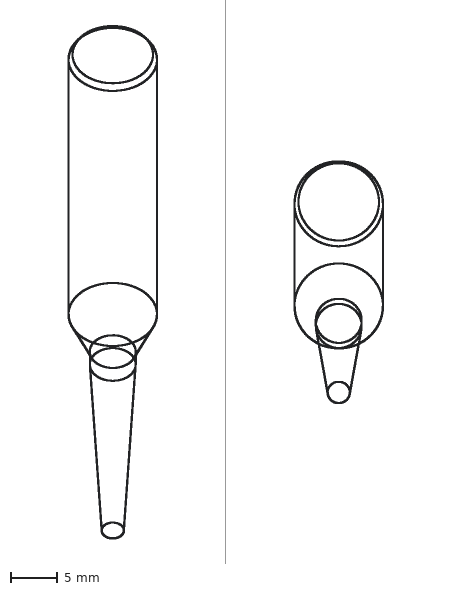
import cadquery as cq

total_length = 73.0
shank_diameter = 9.55
neck_diameter = 5.0
tip_diameter = 2.4

taper_length = 25.5
neck_length = 2.0
cone_length = 5.7

bevel_height = 0.7
bevel_width = 0.45

shank_radius = shank_diameter / 2
neck_radius = neck_diameter / 2
tip_radius = tip_diameter / 2
neck_top = taper_length + neck_length
cone_top = neck_top + cone_length


def revolve_about_z(profile_points):
    """Turn a closed (radius, height) outline around the Z axis."""
    return (
        cq.Workplane("XZ")
        .polyline(profile_points)
        .close()
        .revolve(360, (0, 0), (0, 1))
    )


def make_shank():
    """Bevelled cylinder that narrows through a cone to a short straight neck."""
    return revolve_about_z([
        (0, taper_length),
        (neck_radius, taper_length),
        (neck_radius, neck_top),
        (shank_radius, cone_top),
        (shank_radius, total_length - bevel_height),
        (shank_radius - bevel_width, total_length),
        (0, total_length),
    ])


def make_tapered_tip():
    """Slender cone below the neck, ending in a flat face."""
    return revolve_about_z([
        (0, 0),
        (tip_radius, 0),
        (neck_radius, taper_length),
        (0, taper_length),
    ])


shank = make_shank()
tapered_tip = make_tapered_tip()

result = cq.Compound.makeCompound([shank.val(), tapered_tip.val()])